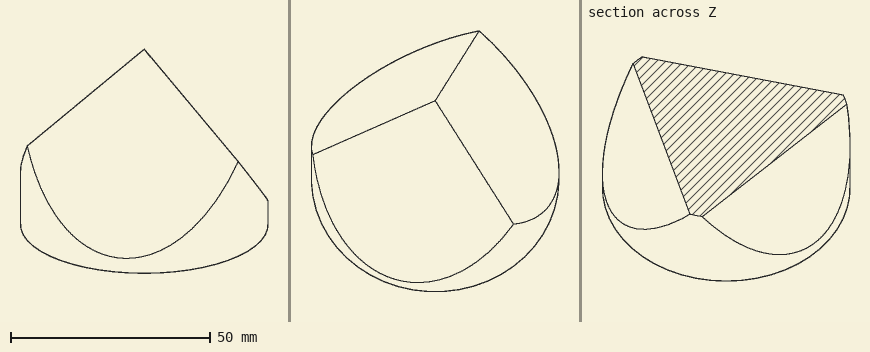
import cadquery as cq
import math

diameter = 62.2
lowest_rim_height = 3.9

radius = diameter / 2
face_slope = math.sqrt(2)
apex_height = lowest_rim_height + radius * face_slope
cube_side = 2 * diameter


def cube_edge_direction(angle):
    """Direction of the cube edge falling from the apex towards a compass angle in degrees."""
    turn = math.radians(angle)
    return cq.Vector(face_slope * math.cos(turn), face_slope * math.sin(turn), -1)


post = cq.Workplane("XY").circle(radius).extrude(apex_height)

corner_plane = cq.Plane(
    origin=(0, 0, apex_height),
    xDir=cube_edge_direction(0),
    normal=cube_edge_direction(120),
)
cube = cq.Workplane(corner_plane).box(cube_side, cube_side, cube_side, centered=False)

result = post.intersect(cube)